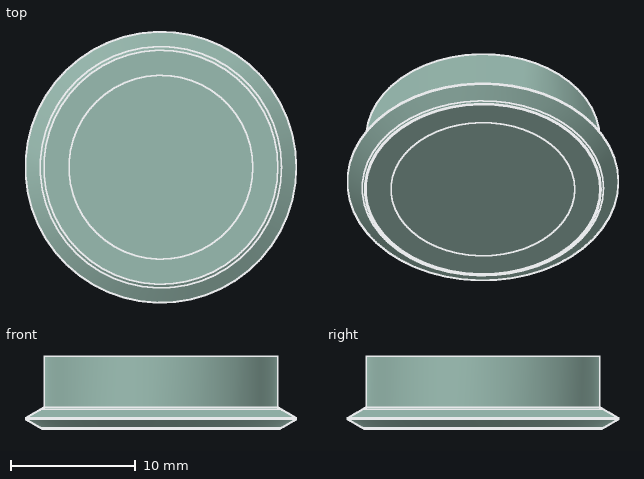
import cadquery as cq
import math

height = 5.85
flange_diameter = 21.7
collar_diameter = 19.31
sleeve_diameter = 18.73
disc_diameter = 14.71

rim_bottom = 0.8
rim_width = 0.1
slope_angle = 30.0

flange_radius = flange_diameter / 2
collar_radius = collar_diameter / 2
sleeve_radius = sleeve_diameter / 2
disc_radius = disc_diameter / 2

rim_top = rim_bottom + rim_width
slope = math.tan(math.radians(slope_angle))
base_radius = flange_radius - rim_bottom / slope


def upper_slope_height(radius):
    """Height of the upper slope at a given radius."""
    return rim_top + (flange_radius - radius) * slope


def lower_slope_height(radius):
    """Height of the lower slope at a given radius."""
    return rim_bottom - (flange_radius - radius) * slope


def revolve_profile(points):
    """Turn a closed (radius, height) outline around Z into a ring."""
    profile = cq.Workplane("XZ").polyline(points).close()
    return profile.revolve(360, (0, 0, 0), (0, 1, 0))


def make_disc():
    """Plain disc that fills the bore of the sleeve."""
    return cq.Workplane("XY").circle(disc_radius).extrude(height)


def make_sleeve():
    """Straight tube around the disc."""
    return cq.Workplane("XY").circle(sleeve_radius).circle(disc_radius).extrude(height)


def make_collar():
    """Thin ring between sleeve and flange, continuing both flange slopes."""
    return revolve_profile([
        (sleeve_radius, 0),
        (base_radius, 0),
        (collar_radius, lower_slope_height(collar_radius)),
        (collar_radius, upper_slope_height(collar_radius)),
        (sleeve_radius, upper_slope_height(sleeve_radius)),
    ])


def make_flange():
    """Outer ring tapering from both sides to the narrow rim."""
    return revolve_profile([
        (collar_radius, lower_slope_height(collar_radius)),
        (flange_radius, rim_bottom),
        (flange_radius, rim_top),
        (collar_radius, upper_slope_height(collar_radius)),
    ])


disc = make_disc()
sleeve = make_sleeve()
collar = make_collar()
flange = make_flange()

result = cq.Compound.makeCompound([disc.val(), sleeve.val(), collar.val(), flange.val()])